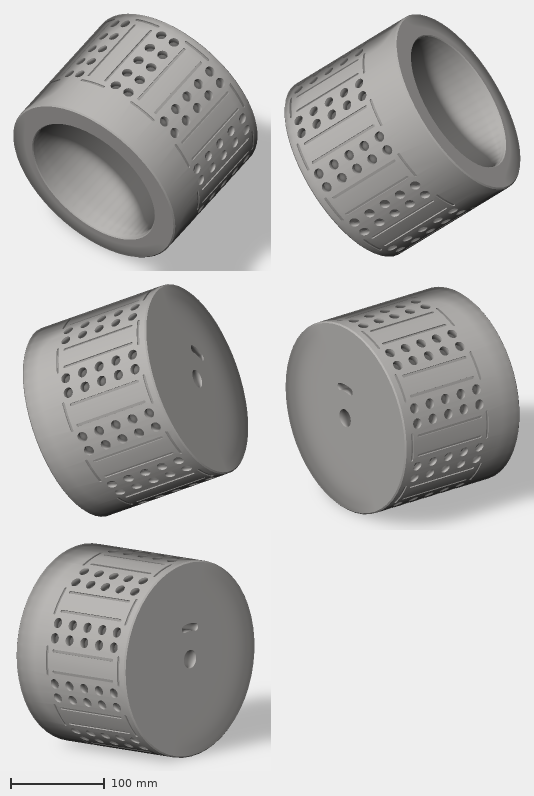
import cadquery as cq
import math

outer_diameter = 213.8
outer_radius = outer_diameter / 2
length = 155.0
back_face_y = length / 2
bore_radius = 80.0
floor_thickness = 60.0
rim_chamfer = 1.5
bore_chamfer = 1.0
floor_fillet = 3.0

shaft_hole_diameter = 20.0
window_mid_radius = 35.0
window_width = 8.3
window_half_angle = 15.0

sector_count = 10
sector_angle = 360 / sector_count
pattern_setback = 60.0
pattern_centre_y = back_face_y - pattern_setback

hole_diameter = 11.1
hole_depth = 7.5
hole_pitch = 21.0
holes_per_row = 5
hole_row_half_angle = 4.5

groove_width = 3.0
groove_depth = 1.5
long_groove_length = 86.4
long_groove_half_angle = 6.2
cross_groove_length = 33.0
cross_groove_spacing = 101.0

cutter_overshoot = 4.3


def make_body():
    """Cup with its open end at -Y and its floor at +Y."""
    body = cq.Workplane("XZ", origin=(0, back_face_y, 0)).circle(outer_radius).extrude(length)
    body = body.edges().chamfer(rim_chamfer)
    bore = (
        cq.Workplane("XZ", origin=(0, back_face_y - floor_thickness, 0))
        .circle(bore_radius)
        .extrude(length - floor_thickness)
        .faces(">Y")
        .edges()
        .fillet(floor_fillet)
    )
    mouth = cq.Workplane(
        cq.Solid.makeCone(
            bore_radius + bore_chamfer,
            bore_radius,
            bore_chamfer,
            pnt=cq.Vector(0, -length / 2, 0),
            dir=cq.Vector(0, 1, 0),
        )
    )
    return body.cut(bore).cut(mouth)


def polar_point(radius, angle_from_z):
    """Point in the XZ plane, its angle measured from +Z."""
    angle = math.radians(angle_from_z)
    return radius * math.sin(angle), radius * math.cos(angle)


def make_floor_openings():
    """Round shaft hole and curved window, both cut through the floor."""
    inner = window_mid_radius - window_width / 2
    outer = window_mid_radius + window_width / 2
    end_angle = window_half_angle + math.degrees(window_width / 2 / window_mid_radius)
    plane = cq.Workplane("XZ", origin=(0, back_face_y, 0))
    window = (
        plane.moveTo(*polar_point(outer, -window_half_angle))
        .threePointArc(polar_point(outer, 0), polar_point(outer, window_half_angle))
        .threePointArc(polar_point(window_mid_radius, end_angle), polar_point(inner, window_half_angle))
        .threePointArc(polar_point(inner, 0), polar_point(inner, -window_half_angle))
        .threePointArc(polar_point(window_mid_radius, -end_angle), polar_point(outer, -window_half_angle))
        .close()
        .extrude(floor_thickness)
    )
    return plane.circle(shaft_hole_diameter / 2).extrude(floor_thickness).union(window)


def radial_plane(depth):
    """Workplane facing +Z at the given depth below the top of the drum."""
    return cq.Workplane("XY", origin=(0, pattern_centre_y, outer_radius - depth))


def turned(cutter, angle):
    """Shapes of the cutter, turned about the drum axis."""
    return cutter.rotate((0, 0, 0), (0, 1, 0), angle).vals()


def make_pattern_cutters():
    """All radial holes and panel grooves around the drum."""
    hole_row = (
        radial_plane(hole_depth)
        .rarray(2.1, hole_pitch, 1, holes_per_row)
        .circle(hole_diameter / 2)
        .extrude(hole_depth + cutter_overshoot)
    )
    long_groove = (
        radial_plane(groove_depth)
        .slot2D(long_groove_length, groove_width, 90)
        .extrude(groove_depth + cutter_overshoot)
    )
    ring = (
        cq.Workplane("XZ", origin=(0, pattern_centre_y + length / 2, 0))
        .circle(outer_radius + cutter_overshoot)
        .circle(outer_radius - groove_depth)
        .extrude(length)
    )
    cross_grooves = (
        radial_plane(outer_radius)
        .rarray(2.1, cross_groove_spacing, 1, 2)
        .slot2D(cross_groove_length, groove_width)
        .extrude(outer_radius + cutter_overshoot)
        .intersect(ring)
    )
    cutters = []
    for sector in range(sector_count):
        row_angle = sector * sector_angle
        panel_angle = row_angle + sector_angle / 2
        cutters += turned(cross_grooves, panel_angle)
        for side in (-1, 1):
            cutters += turned(hole_row, row_angle + side * hole_row_half_angle)
            cutters += turned(long_groove, panel_angle + side * long_groove_half_angle)
    return cq.Compound.makeCompound(cutters)


result = make_body().cut(make_floor_openings()).cut(cq.Workplane(make_pattern_cutters()))